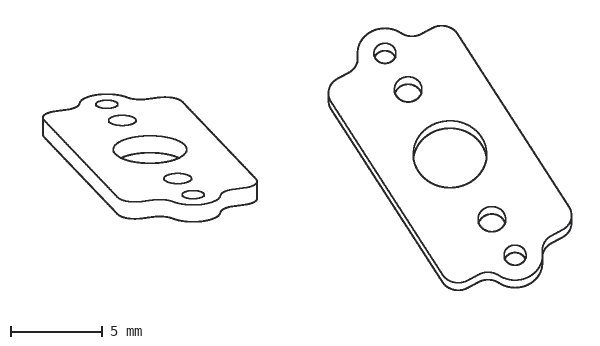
import cadquery as cq

plate_length = 14.0
plate_width = 8.0
thickness = 1.0
corner_radius = 1.0
ear_radius = 1.5
ear_blend_radius = 1.0

center_hole_diameter = 4.0
inner_hole_diameter = 1.5
inner_hole_offset = 4.5
ear_hole_diameter = 1.2

ear_offset = plate_length / 2
SIDES = (-1, 1)


def make_plate():
    """Rectangular plate with rounded corners, resting on Z = 0."""
    plate = cq.Workplane("XY").box(plate_length, plate_width, thickness, centered=(True, True, False))
    return plate.edges("|Z").fillet(corner_radius)


def add_ears(body):
    """Round ears on both short edges, blended into the plate."""
    ear_centers = [(side * ear_offset, 0) for side in SIDES]
    ears = cq.Workplane("XY").pushPoints(ear_centers).circle(ear_radius).extrude(thickness)
    body = body.union(ears)
    for x_side in SIDES:
        for y_side in SIDES:
            junction = (x_side * ear_offset, y_side * ear_radius, thickness / 2)
            body = body.edges(cq.selectors.NearestToPointSelector(junction)).fillet(ear_blend_radius)
    return body


def cut_holes(body, diameter, x_positions):
    """Through holes along the X centre line."""
    centers = [(x, 0) for x in x_positions]
    holes = cq.Workplane("XY").pushPoints(centers).circle(diameter / 2).extrude(thickness)
    return body.cut(holes)


result = add_ears(make_plate())
result = cut_holes(result, center_hole_diameter, [0])
result = cut_holes(result, inner_hole_diameter, [side * inner_hole_offset for side in SIDES])
result = cut_holes(result, ear_hole_diameter, [side * ear_offset for side in SIDES])